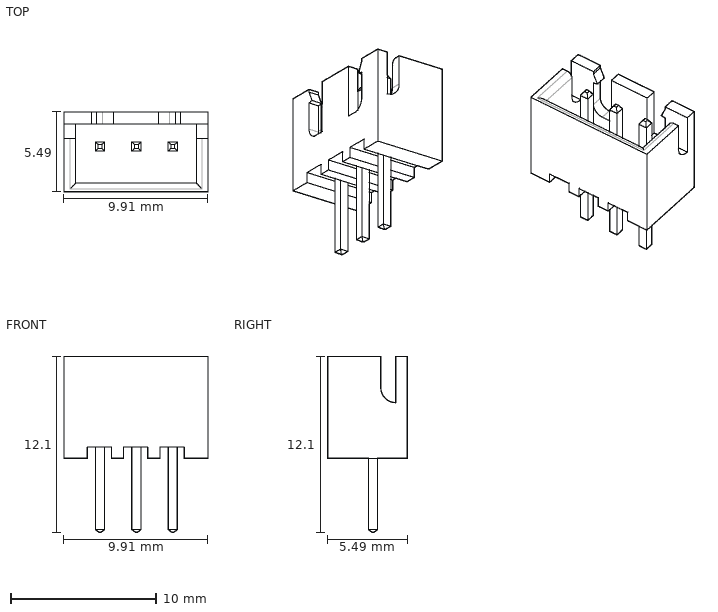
import cadquery as cq

length = 9.91
depth = 5.49
height = 7.0
overall_height = 12.09
front_wall = 0.59
side_wall = 0.81
back_wall = 0.81
floor_top = 2.0
rim_radius = 0.4

side_slot_width = 1.02
side_slot_depth = 3.17

back_slot_width = 1.52
back_slot_depth = 3.8
arm_width = 1.9
back_slot_radius = back_slot_width / 2

hook_reach = 0.34
hook_top = 0.22
hook_tip = 0.98
hook_bottom = 1.04

pin_count = 3
pin_pitch = 2.5
pin_width = 0.64
pin_offset = 0.02
pin_y = 3.12
pin_top = 6.63
pin_bottom = height - overall_height
upper_tip_flat = 0.25
lower_tip_flat = 0.12
upper_tip_height = 0.33
lower_tip_height = 0.18
notch_width = 1.65
notch_offset = -0.02
notch_height = 0.76

inner_length = length - 2 * side_wall
back_wall_front = depth - back_wall
row_positions = [(i - (pin_count - 1) / 2) * pin_pitch for i in range(pin_count)]


def block(x_range, y_range, z_range):
    """Axis-aligned box spanning the given ranges."""
    size = [high - low for low, high in (x_range, y_range, z_range)]
    corner = (x_range[0], y_range[0], z_range[0])
    return cq.Workplane("XY").box(*size, centered=False).translate(corner)


def make_shell():
    """Open-topped box whose rim is rounded inward along the front and sides."""
    shell = block((-length / 2, length / 2), (0, depth), (0, height))
    cavity = block(
        (-inner_length / 2, inner_length / 2), (front_wall, back_wall_front), (floor_top, height)
    )
    shell = shell.cut(cavity)
    edge_margin = 0.01
    rim_zone = cq.selectors.BoxSelector(
        (-inner_length / 2 - edge_margin, front_wall - edge_margin, height - edge_margin),
        (inner_length / 2 + edge_margin, back_wall_front - edge_margin, height + edge_margin),
    )
    return shell.edges(rim_zone).fillet(rim_radius)


def make_side_slot():
    """Slot through both side walls, with a quarter-round bottom."""
    slot_front = back_wall_front - side_slot_width
    slot_bottom = height - side_slot_depth
    return (
        cq.Workplane("YZ")
        .moveTo(back_wall_front, height)
        .lineTo(back_wall_front, slot_bottom)
        .radiusArc((slot_front, slot_bottom + side_slot_width), side_slot_width)
        .lineTo(slot_front, height)
        .close()
        .extrude(length / 2, both=True)
    )


def extrude_through_back_wall(outline):
    """Extrude an XZ outline through the thickness of the back wall."""
    return outline.extrude(-back_wall).translate((0, back_wall_front, 0))


def make_back_slot():
    """Left slot of the back wall, rounded where it meets the latch arm."""
    arm_edge = -length / 2 + arm_width
    panel_edge = arm_edge + back_slot_width
    slot_bottom = height - back_slot_depth
    outline = (
        cq.Workplane("XZ")
        .moveTo(arm_edge, height)
        .lineTo(arm_edge, slot_bottom + back_slot_radius)
        .radiusArc((arm_edge + back_slot_radius, slot_bottom), -back_slot_radius)
        .lineTo(panel_edge, slot_bottom)
        .lineTo(panel_edge, height)
        .close()
    )
    return extrude_through_back_wall(outline)


def make_hook():
    """Barb on the inner edge of the left latch arm."""
    arm_edge = -length / 2 + arm_width
    outline = (
        cq.Workplane("XZ")
        .moveTo(arm_edge, height - hook_top)
        .lineTo(arm_edge + hook_reach, height - hook_tip)
        .lineTo(arm_edge, height - hook_bottom)
        .close()
    )
    return extrude_through_back_wall(outline)


def make_tip(base_z, tip_z, flat):
    """Square pyramid frustum that narrows from the pin width to a small flat."""
    return (
        cq.Workplane("XY", origin=(0, 0, base_z))
        .rect(pin_width, pin_width)
        .workplane(offset=tip_z - base_z)
        .rect(flat, flat)
        .loft(ruled=True)
    )


def make_pin():
    """Square pin with tapered ends, on the Z axis."""
    shank_top = pin_top - upper_tip_height
    shank_bottom = pin_bottom + lower_tip_height
    half_width = pin_width / 2
    span = (-half_width, half_width)
    shank = block(span, span, (shank_bottom, shank_top))
    upper_tip = make_tip(shank_top, pin_top, upper_tip_flat)
    lower_tip = make_tip(shank_bottom, pin_bottom, lower_tip_flat)
    return shank.union(upper_tip).union(lower_tip)


back_slot = make_back_slot()
hook = make_hook()

result = make_shell().cut(make_side_slot())
result = result.cut(back_slot).cut(back_slot.mirror("YZ"))
result = result.union(hook).union(hook.mirror("YZ"))

for x in row_positions:
    notch_left = x + notch_offset - notch_width / 2
    notch = block((notch_left, notch_left + notch_width), (0, depth), (0, notch_height))
    result = result.cut(notch)

for x in row_positions:
    result = result.union(make_pin().translate((x + pin_offset, pin_y, 0)))